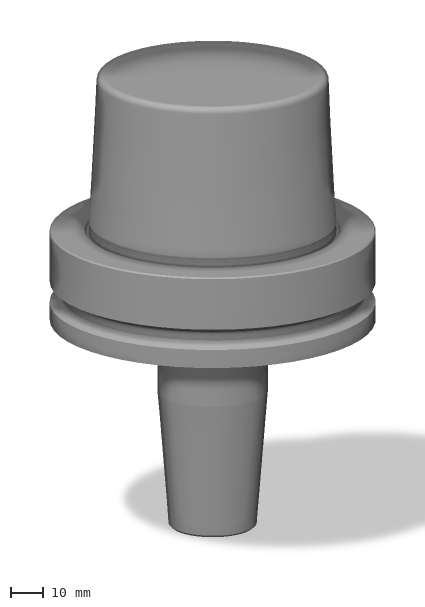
import cadquery as cq

cone_length = 50.0
total_length = 144.9
flange_thickness = 29.0
stem_straight_end = -51.7
stem_bottom = cone_length - total_length

flange_radius = 50.0
flange_edge_chamfer = 0.5
groove_floor_radius = 46.2
groove_mouth_top = -16.7
groove_floor_top = -18.4
groove_floor_bottom = -21.7
groove_mouth_bottom = -23.2
groove_corner_fillet = 0.7

cone_top_radius = 35.5
cone_base_radius = 38.0
collar_height = 2.6
collar_waist_top = 1.7
collar_waist_bottom = 0.9
collar_waist_depth = 0.22
cone_top_fillet = 2.0
relief_outer_radius = 39.3
relief_depth = 0.9
relief_wall_run = 0.5

stem_radius = 17.0
stem_end_radius = 13.5
stem_root_fillet = 10.0
stem_end_chamfer = 0.7


def cylinder(radius, bottom, top):
    return cq.Workplane("XY").workplane(offset=bottom).circle(radius).extrude(top - bottom)


def revolve_profile(points):
    """Turn a closed (radius, Z) outline about the Z axis."""
    return cq.Workplane("XZ").polyline(points).close().revolve(360, (0, 0, 0), (0, 1, 0))


def make_flange():
    body = cylinder(flange_radius, -flange_thickness, 0)
    body = body.faces(">Z").edges().chamfer(flange_edge_chamfer)
    groove = revolve_profile([
        (flange_radius, groove_mouth_top),
        (groove_floor_radius, groove_floor_top),
        (groove_floor_radius, groove_floor_bottom),
        (flange_radius, groove_mouth_bottom),
    ])
    floor_edges = cq.selectors.RadiusNthSelector(0)
    groove = groove.edges("%CIRCLE").edges(floor_edges).fillet(groove_corner_fillet)
    return body.cut(groove)


def make_relief():
    return revolve_profile([
        (cone_base_radius, 0),
        (cone_base_radius, -relief_depth),
        (relief_outer_radius - relief_wall_run, -relief_depth),
        (relief_outer_radius, 0),
    ])


def make_cone():
    waist_radius = cone_base_radius - collar_waist_depth
    cone = revolve_profile([
        (0, -relief_depth),
        (cone_base_radius, -relief_depth),
        (cone_base_radius, 0),
        (waist_radius, collar_waist_bottom),
        (waist_radius, collar_waist_top),
        (cone_base_radius, collar_height),
        (cone_top_radius, cone_length),
        (0, cone_length),
    ])
    return cone.faces(">Z").edges().fillet(cone_top_fillet)


def make_stem():
    flange_bottom = -flange_thickness
    root_offset = stem_root_fillet * (1 - 0.5 ** 0.5)
    profile = (
        cq.Workplane("XZ")
        .moveTo(0, flange_bottom)
        .lineTo(stem_radius + stem_root_fillet, flange_bottom)
        .threePointArc(
            (stem_radius + root_offset, flange_bottom - root_offset),
            (stem_radius, flange_bottom - stem_root_fillet),
        )
        .lineTo(stem_radius, stem_straight_end)
        .lineTo(stem_end_radius, stem_bottom)
        .lineTo(0, stem_bottom)
        .close()
    )
    stem = profile.revolve(360, (0, 0, 0), (0, 1, 0))
    return stem.faces("<Z").edges().chamfer(stem_end_chamfer)


result = make_flange().cut(make_relief()).union(make_cone()).union(make_stem())